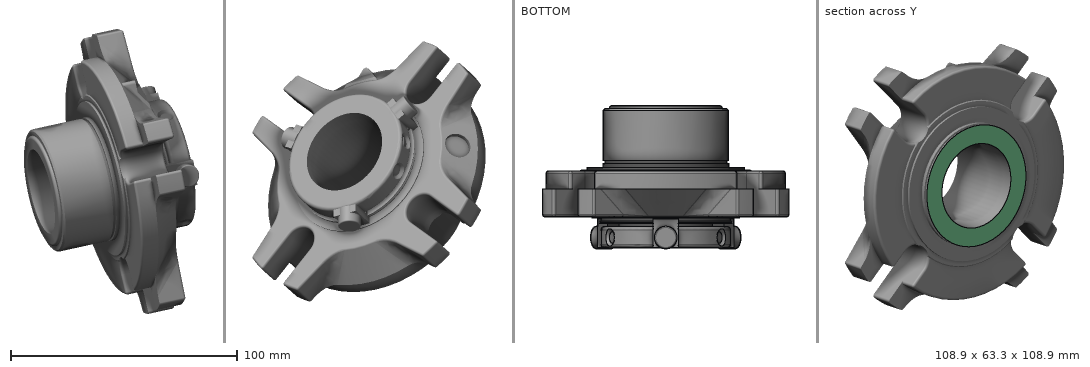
import cadquery as cq
import math

BORE_R = 38.0 / 2

SLEEVE_R = 55.4 / 2
SLEEVE_CHAMFER = 0.8
SEAT_R = 55.8 / 2
SEAT_Y = -11.2
GROOVE_R = 54.0 / 2
GROOVE_Y = -12.5
NOSE_R = 50.0 / 2
NOSE_Y = -36.8
NOSE_ROUND = 1.3
SLEEVE_END_Y = NOSE_Y + NOSE_ROUND

PILOT_R = 53.0
PILOT_Y = -8.0
PILOT_ROUND = 1.1
PAD_R = 37.8
PAD_Y = -8.4
PAD_CHAMFER = 0.4
STEP_R = 69.8 / 2
STEP_Y = -9.5

FLANGE_Y = 12.3
CONE_BACK_R = 41.5
EAR_TIP_R = 63.2
EAR_TIP_HALF_WIDTH = 16.0
EAR_SIDE_TILT = 7.5
EAR_ROOT_ROUND = 7.5
EAR_EDGE_ROUND = 1.1
SLOT_WIDTH = 14.4
SLOT_BOTTOM_R = 36.0
SLOT_ANGLES = (45, 135, 225, 315)
BOSS_R = 32.6
BOSS_Y = 12.9

RING_R = 57.2 / 2
DISC_R = 58.6 / 2
DISC_Y = (14.1, 15.4)
DISC_GROOVE = 0.3
REAR_SLEEVE_R = 41.2 / 2

COLLAR_R = 57.2 / 2
COLLAR_Y = (16.6, 26.0)
COLLAR_ROUND = 1.5
SCREW_Y = 21.5
SET_SCREW_ANGLES = (90, 180, 210, 330)
SET_SCREW_R = 5.0 / 2
COUNTERSINK_R = 7.8 / 2
COUNTERSINK_DEPTH = 1.3
SCREW_SLOT_ANGLE = 180
SCREW_SLOT_WIDTH = 0.7
SCREW_SLOT_DEPTH = 0.5

CLIP_ANGLES = (30, 150, 270)
CLIP_WIDTH = 11.2
CLIP_R = (28.0, 31.5)
CLIP_Y = (13.2, 25.9)
CLIP_LIP_R = 26.5
CAP_R = 10.0 / 2
CAP_TOP_R = 35.7
CAP_ROUND = 0.5

PORT_R = 11.8 / 2
PORT_Y = 6.9
PORT_TILT = 45
PORT_DEPTH = 2.5

POINTER_TOP_Z = 52.1
POINTER_RIDGE_R = 3.0 / 2
POINTER_SIDE_SLOPE = 53.5
POINTER_END_Y = 7.0
POINTER_LEDGE_Z = 48.4
POINTER_TAIL_Y = 11.3
POINTER_TAIL_Z = 43.4
POINTER_ROOT_Z = 38.1

CLEARANCE = 1.1

OUTER_EDGES = cq.selectors.RadiusNthSelector(-1)


def revolve_about_y(profile):
    """Solid of revolution from a closed profile in the XY plane."""
    return profile.close().revolve(360, (0, 0, 0), (0, 1, 0))


def ring(outer_r, y0, y1):
    """Cylinder about the Y axis from y0 to y1, hollowed by the bore."""
    corners = [(BORE_R, y0), (outer_r, y0), (outer_r, y1), (BORE_R, y1)]
    return revolve_about_y(cq.Workplane("XY").polyline(corners))


def turn(shape, angle):
    """Turn a shape modelled along +X about the Y axis; 90 degrees brings it to +Z."""
    return shape.rotate((0, 0, 0), (0, 1, 0), -angle)


def spread(shape, angles):
    """Union of copies of a shape turned to the given angles."""
    copies = turn(shape, angles[0])
    for angle in angles[1:]:
        copies = copies.union(turn(shape, angle))
    return copies


def box(x, y, z):
    """Box given by its (low, high) limits."""
    size = (x[1] - x[0], y[1] - y[0], z[1] - z[0])
    return cq.Workplane("XY").box(*size, centered=False).translate((x[0], y[0], z[0]))


def slots():
    """Four round-ended radial slots, open at the rim."""
    half = SLOT_WIDTH / 2
    end_x = SLOT_BOTTOM_R + half
    slot = box((end_x, EAR_TIP_R + CLEARANCE), (STEP_Y, BOSS_Y), (-half, half))
    end = cq.Workplane("XZ", origin=(end_x, STEP_Y, 0)).circle(half).extrude(STEP_Y - BOSS_Y)
    return spread(slot.union(end), SLOT_ANGLES)


def axis_distance(edge):
    """Distance from the shaft axis to the middle of an edge."""
    center = edge.Center()
    return math.hypot(center.x, center.z)


def outside(edges, radius):
    """The edges whose middles lie farther than radius from the shaft axis."""
    return edges.filter(lambda edge: axis_distance(edge) > radius)


def ear_half_width(x):
    """Half width of an ear at distance x from the shaft axis."""
    return EAR_TIP_HALF_WIDTH + (EAR_TIP_R - x) * math.tan(math.radians(EAR_SIDE_TILT))


def eared_flange():
    """Cone with four pairs of ears, one ear on either side of each slot."""
    cone_corners = [(BORE_R, 0), (PILOT_R, 0), (CONE_BACK_R, FLANGE_Y), (BORE_R, FLANGE_Y)]
    cone = revolve_about_y(cq.Workplane("XY").polyline(cone_corners))
    root_half = ear_half_width(BOSS_R)
    end_x = EAR_TIP_R + CLEARANCE
    end_half = ear_half_width(end_x)
    ear = (
        cq.Workplane("XZ")
        .polyline([(BOSS_R, -root_half), (end_x, -end_half), (end_x, end_half), (BOSS_R, root_half)])
        .close()
        .extrude(-FLANGE_Y)
    )
    ears = spread(ear, SLOT_ANGLES).intersect(ring(EAR_TIP_R, 0, FLANGE_Y))
    flange = cone.union(ears)

    roots = outside(flange.edges(), BOSS_R).filter(
        lambda edge: CLEARANCE < edge.Center().y < FLANGE_Y - CLEARANCE and axis_distance(edge) < PILOT_R
    )
    flange = roots.fillet(EAR_ROOT_ROUND).cut(slots())
    flange = outside(flange.edges("|Y"), PILOT_R).fillet(EAR_EDGE_ROUND)
    return outside(flange.faces(">Y").edges(), BOSS_R).fillet(EAR_EDGE_ROUND)


def pilot():
    """Slotted disc with rounded front edges, a gasket pad and a raised step."""
    disc = ring(PILOT_R, PILOT_Y, 0).cut(slots())
    disc = outside(disc.edges("|Y"), SLOT_BOTTOM_R + SLOT_WIDTH).fillet(EAR_EDGE_ROUND)
    disc = outside(disc.faces("<Y").edges(), BORE_R).fillet(PILOT_ROUND)
    pad = ring(PAD_R, PAD_Y, 0).faces("<Y").edges(OUTER_EDGES).chamfer(PAD_CHAMFER)
    return disc.union(pad.cut(slots())).union(ring(STEP_R, STEP_Y, 0))


def rear_rings():
    """Boss, ring and grooved disc stacked between the flange and the collar."""
    middle_y = sum(DISC_Y) / 2
    disc_corners = [
        (BORE_R, DISC_Y[0]),
        (DISC_R, DISC_Y[0]),
        (DISC_R - DISC_GROOVE, middle_y),
        (DISC_R, DISC_Y[1]),
        (BORE_R, DISC_Y[1]),
    ]
    disc = revolve_about_y(cq.Workplane("XY").polyline(disc_corners))
    return ring(BOSS_R, 0, BOSS_Y).union(ring(RING_R, 0, DISC_Y[0])).union(disc)


def sleeve():
    """Stepped tube that carries all other parts, open from end to end."""
    profile = (
        cq.Workplane("XY")
        .moveTo(BORE_R, NOSE_Y)
        .lineTo(NOSE_R - NOSE_ROUND, NOSE_Y)
        .radiusArc((NOSE_R, SLEEVE_END_Y), -NOSE_ROUND)
        .lineTo(SLEEVE_R - SLEEVE_CHAMFER, SLEEVE_END_Y)
        .lineTo(SLEEVE_R, SLEEVE_END_Y + SLEEVE_CHAMFER)
        .lineTo(SLEEVE_R, GROOVE_Y)
        .lineTo(GROOVE_R, GROOVE_Y)
        .lineTo(GROOVE_R, SEAT_Y)
        .lineTo(SEAT_R, SEAT_Y)
        .lineTo(SEAT_R, 0)
        .lineTo(REAR_SLEEVE_R, 0)
        .lineTo(REAR_SLEEVE_R, COLLAR_Y[1])
        .lineTo(BORE_R, COLLAR_Y[1])
    )
    return revolve_about_y(profile)


def collar():
    """Ring with countersunk set screws; the one at -X shows a screwdriver slot."""
    body = ring(COLLAR_R, *COLLAR_Y).edges(OUTER_EDGES).fillet(COLLAR_ROUND)
    floor_r = COLLAR_R - COUNTERSINK_DEPTH
    slope = (COUNTERSINK_R - SET_SCREW_R) / COUNTERSINK_DEPTH
    mouth_x = COLLAR_R + CLEARANCE
    mouth_r = COUNTERSINK_R + slope * CLEARANCE
    recess = (
        cq.Workplane("XY")
        .polyline([(floor_r, 0), (floor_r, SET_SCREW_R), (mouth_x, mouth_r), (mouth_x, 0)])
        .close()
        .revolve(360, (0, 0, 0), (1, 0, 0))
        .translate((0, SCREW_Y, 0))
    )
    body = body.cut(spread(recess, SET_SCREW_ANGLES))
    groove = box(
        (floor_r - SCREW_SLOT_DEPTH, floor_r),
        (SCREW_Y - SCREW_SLOT_WIDTH / 2, SCREW_Y + SCREW_SLOT_WIDTH / 2),
        (-SET_SCREW_R, SET_SCREW_R),
    )
    return body.cut(turn(groove, SCREW_SLOT_ANGLE))


def clips():
    """Plates with an inner lip beside the collar, each held by a radial cap screw."""
    half = CLIP_WIDTH / 2
    plate = box(CLIP_R, CLIP_Y, (-half, half))
    lip = box((CLIP_LIP_R, CLIP_R[0]), (CLIP_Y[0], COLLAR_Y[0]), (-half, half))
    cap = (
        cq.Workplane("YZ", origin=(CLIP_R[0], SCREW_Y, 0))
        .circle(CAP_R)
        .extrude(CAP_TOP_R - CLIP_R[0])
        .faces(">X")
        .edges()
        .fillet(CAP_ROUND)
    )
    return spread(plate.union(lip).union(cap), CLIP_ANGLES)


def side_port():
    """Round cutter for the blind recess at -X, tilted towards +Y."""
    tilt = math.radians(PORT_TILT)
    cone_slope = (PILOT_R - CONE_BACK_R) / FLANGE_Y
    mouth_x = cone_slope * PORT_Y - PILOT_R
    outward = (-math.cos(tilt), math.sin(tilt), 0)
    floor = cq.Plane(origin=(mouth_x, PORT_Y, 0), xDir=(0, 0, 1), normal=outward)
    return cq.Workplane(floor).workplane(offset=-PORT_DEPTH).circle(PORT_R).extrude(PORT_DEPTH + 2 * PORT_R)


def pointer():
    """Ridge along Y with a rounded top, cut off square behind and continued by a sloping ledge."""
    slope = math.radians(POINTER_SIDE_SLOPE)
    ridge_z = POINTER_TOP_Z - POINTER_RIDGE_R
    tangent_x = POINTER_RIDGE_R * math.sin(slope)
    tangent_z = ridge_z + POINTER_RIDGE_R * math.cos(slope)
    root_x = tangent_x + (tangent_z - POINTER_ROOT_Z) / math.tan(slope)
    roof = (
        cq.Workplane("XZ")
        .moveTo(-root_x, POINTER_ROOT_Z)
        .lineTo(-tangent_x, tangent_z)
        .threePointArc((0, POINTER_TOP_Z), (tangent_x, tangent_z))
        .lineTo(root_x, POINTER_ROOT_Z)
        .close()
        .extrude(-FLANGE_Y)
    )
    side = (
        cq.Workplane("YZ")
        .moveTo(0, POINTER_ROOT_Z)
        .lineTo(0, POINTER_TOP_Z)
        .lineTo(POINTER_END_Y, POINTER_TOP_Z)
        .lineTo(POINTER_END_Y, POINTER_LEDGE_Z)
        .lineTo(POINTER_TAIL_Y, POINTER_TAIL_Z)
        .lineTo(POINTER_TAIL_Y, POINTER_ROOT_Z)
        .close()
        .extrude(root_x, both=True)
    )
    return roof.intersect(side)


result = (
    eared_flange()
    .cut(side_port())
    .union(pointer())
    .union(pilot())
    .union(rear_rings())
    .union(sleeve())
    .union(collar())
    .union(clips())
)